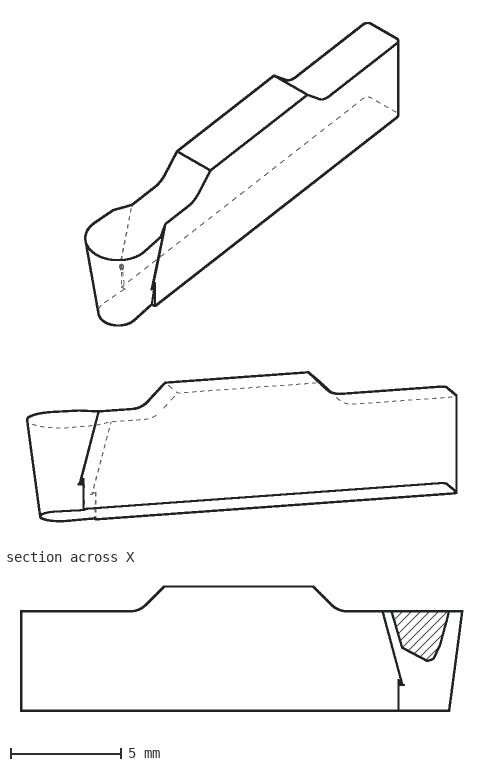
import cadquery as cq
import math

length = 20.05
body_width = 2.0
shoulder_height = 4.53
total_height = 5.65
hump_front = 6.78
hump_back = 13.55
hump_rise = total_height - shoulder_height
ramp_blend_radius = 1.0
rear_corner_radius = 0.25

body_front = 2.9
notch_top = 1.4
spur_front = 2.73
spur_height = 1.18

nose_radius = 1.5
wall_taper = 7.5
side_relief = math.radians(4.0)
head_corner = 2.8
waist = 3.63
head_back = 4.0
flare_corner_radius = 0.12

tangent_x = nose_radius * math.cos(side_relief)
tangent_y = nose_radius + nose_radius * math.sin(side_relief)


def make_body():
    """Blade profile in the YZ plane, centred on X = 0."""
    ramp_front = hump_front - hump_rise
    ramp_back = hump_back + hump_rise
    profile = [
        (body_front, 0),
        (length, 0),
        (length, shoulder_height),
        (ramp_back, shoulder_height),
        (hump_back, total_height),
        (hump_front, total_height),
        (ramp_front, shoulder_height),
        (waist, shoulder_height),
        (spur_front, spur_height),
        (body_front, notch_top),
    ]
    body = cq.Workplane("YZ").polyline(profile).close().extrude(body_width / 2, both=True)
    body = body.edges("|Z and >Y").fillet(rear_corner_radius)
    for ramp_foot in (ramp_front, ramp_back):
        foot_edge = cq.selectors.NearestToPointSelector((0, ramp_foot, shoulder_height))
        body = body.edges(foot_edge).fillet(ramp_blend_radius)
    return body


def side_x(y):
    """Half-width of the relieved head sides at shoulder height."""
    return tangent_x - (y - tangent_y) * math.tan(side_relief)


def tapered_nose(back_points):
    """Round nose with the given right-hand points behind it, tapered down to Z = 0."""
    outline = (
        cq.Workplane("XY", origin=(0, 0, shoulder_height))
        .moveTo(-tangent_x, tangent_y)
        .threePointArc((0, 0), (tangent_x, tangent_y))
    )
    for x, y in back_points:
        outline = outline.lineTo(x, y)
    for x, y in reversed(back_points):
        outline = outline.lineTo(-x, y)
    return outline.close().extrude(-shoulder_height, taper=wall_taper)


def make_flared_head():
    """Full-height head whose flares run into the sides of the body."""
    corner_x = side_x(head_corner)
    flare_slope = (corner_x - body_width / 2) / (waist - head_corner)
    back_x = corner_x - flare_slope * (head_back - head_corner)
    head = tapered_nose([(corner_x, head_corner), (back_x, head_back)])
    for side in (-1, 1):
        corner_edge = cq.selectors.NearestToPointSelector((side * corner_x, head_corner, shoulder_height / 2))
        head = head.edges(corner_edge).fillet(flare_corner_radius)
    return head


def make_head_foot():
    """Lower head, whose sides run straight back to the notched front of the body."""
    foot_block = cq.Workplane("XY").box(
        2 * nose_radius, head_back, spur_height, centered=(True, False, False)
    )
    return tapered_nose([(side_x(head_back), head_back)]).intersect(foot_block)


result = make_body().union(make_flared_head()).union(make_head_foot()).clean()